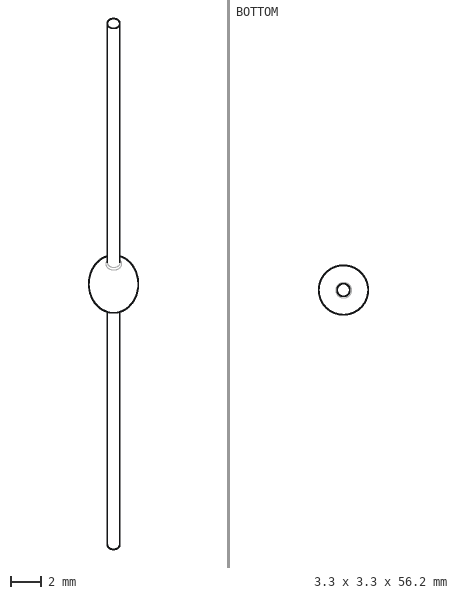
import cadquery as cq
import math

wire_length = 56.2
wire_diameter = 0.85
bead_diameter = 3.3
bead_height = 4.6
neck_fillet = 0.15

wire = cq.Workplane("XY").circle(wire_diameter / 2).extrude(wire_length / 2, both=True)

bead_outline = (
    cq.Workplane("XZ")
    .moveTo(0, -bead_height / 2)
    .ellipseArc(bead_diameter / 2, bead_height / 2, -90, 90, startAtCurrent=True)
    .close()
)
bead = bead_outline.revolve(360, (0, 0, 0), (0, 1, 0))

wire_radius_ratio = wire_diameter / bead_diameter
neck_height = bead_height / 2 * math.sqrt(1 - wire_radius_ratio**2)
result = wire.union(bead)
for side in (-1, 1):
    neck_edge = cq.selectors.NearestToPointSelector((0, 0, side * neck_height))
    result = result.edges(neck_edge).fillet(neck_fillet)